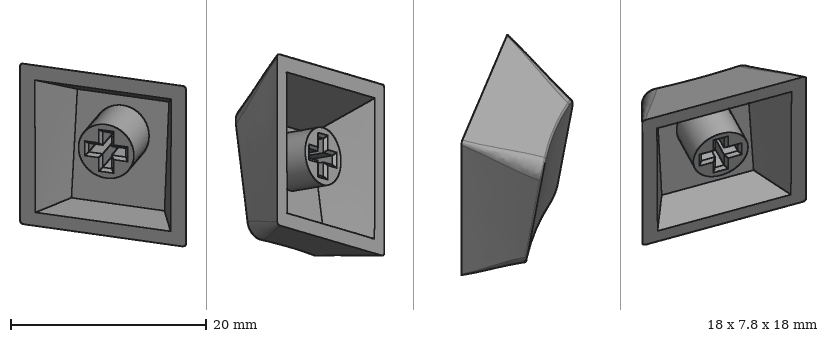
import cadquery as cq
import math


RIM_HALF = 9.0
TOP_TILT = 8.35
TOP_HEIGHT = 7.3
TOP_HALF_WIDTH = 6.05
UPPER_WALL_LEAN = 0.522

DISH_RADIUS = 36.0
DISH_DEPTH = 0.55
DISH_LENGTH = 4 * RIM_HALF
CORNER_RADIUS_RIM = 0.4
CORNER_RADIUS_TOP = 1.8
TOP_EDGE_RADIUS = 0.3
ON_RIM_TOLERANCE = 1e-4

CAVITY_UPPER_Z = 7.33
CAVITY_LOWER_Z = -7.48
CAVITY_MOUTH_UPPER_HALF = 7.39
CAVITY_MOUTH_LOWER_HALF = 7.32
CAVITY_FLOOR_UPPER_HALF = 4.96
CAVITY_FLOOR_LOWER_HALF = 5.04
FLOOR_HEIGHT = 5.75
FLOOR_TILT = 8.0
FLOOR_UPPER_Z = 4.03

STEM_DIAMETER = 6.0
STEM_FACE_Y = 1.0
CROSS_LENGTH = 4.0
CROSS_ARM_WIDTH = 0.98
CROSS_CHAMFER = 0.33

TOP_SLOPE = math.tan(math.radians(TOP_TILT))
FLOOR_SLOPE = math.tan(math.radians(FLOOR_TILT))


def floor_y(z):
    return FLOOR_HEIGHT + FLOOR_SLOPE * z


def trapezoid(upper, lower):
    """Wire symmetric about X = 0; each end is (half width, y, z)."""
    upper_half, upper_y, upper_z = upper
    lower_half, lower_y, lower_z = lower
    corners = [
        cq.Vector(-upper_half, upper_y, upper_z),
        cq.Vector(upper_half, upper_y, upper_z),
        cq.Vector(lower_half, lower_y, lower_z),
        cq.Vector(-lower_half, lower_y, lower_z),
    ]
    return cq.Wire.makePolygon(corners, close=True)


def ruled_block(start, end):
    return cq.Workplane(obj=cq.Solid.makeLoft([start, end], True))


def dish_cutter():
    """Cylinder lying along the tilted top, lowest on the plane X = 0."""
    along_top = cq.Vector(0, TOP_SLOPE, 1).normalized()
    away_from_top = cq.Vector(0, 1, -TOP_SLOPE).normalized()
    dish_bottom = cq.Vector(0, TOP_HEIGHT, 0) - away_from_top * DISH_DEPTH
    base = dish_bottom + away_from_top * DISH_RADIUS - along_top * (DISH_LENGTH / 2)
    return cq.Workplane(obj=cq.Solid.makeCylinder(DISH_RADIUS, DISH_LENGTH, base, along_top))


def round_corners(body):
    """Round the four corner edges with a radius that grows from rim to top."""
    solid = body.val()
    rounding = cq.occ_impl.shapes.BRepFilletAPI_MakeFillet(solid.wrapped)
    for edge in solid.Edges():
        start_y = edge.startPoint().y
        end_y = edge.endPoint().y
        starts_on_rim = abs(start_y) < ON_RIM_TOLERANCE
        ends_on_rim = abs(end_y) < ON_RIM_TOLERANCE
        if starts_on_rim != ends_on_rim:
            radii = [CORNER_RADIUS_RIM, CORNER_RADIUS_TOP]
            if ends_on_rim:
                radii.reverse()
            rounding.Add(*radii, edge.wrapped)
    return cq.Workplane(obj=cq.Shape.cast(rounding.Shape()).Solids()[0])


def outer_body():
    upper_y = (TOP_HEIGHT + TOP_SLOPE * RIM_HALF) / (1 + TOP_SLOPE * UPPER_WALL_LEAN)
    upper_z = RIM_HALF - UPPER_WALL_LEAN * upper_y
    lower_y = TOP_HEIGHT - TOP_SLOPE * RIM_HALF
    rim = trapezoid((RIM_HALF, 0, RIM_HALF), (RIM_HALF, 0, -RIM_HALF))
    top = trapezoid((TOP_HALF_WIDTH, upper_y, upper_z), (TOP_HALF_WIDTH, lower_y, -RIM_HALF))
    body = round_corners(ruled_block(rim, top).cut(dish_cutter()))
    return body.faces("%CYLINDER").edges().fillet(TOP_EDGE_RADIUS)


def cavity():
    mouth = trapezoid(
        (CAVITY_MOUTH_UPPER_HALF, 0, CAVITY_UPPER_Z),
        (CAVITY_MOUTH_LOWER_HALF, 0, CAVITY_LOWER_Z),
    )
    floor = trapezoid(
        (CAVITY_FLOOR_UPPER_HALF, floor_y(FLOOR_UPPER_Z), FLOOR_UPPER_Z),
        (CAVITY_FLOOR_LOWER_HALF, floor_y(CAVITY_LOWER_Z), CAVITY_LOWER_Z),
    )
    return ruled_block(mouth, floor)


def cross_bar_pair(length, width, start_y, end_y):
    """Plus-shaped prism running along Y between two heights."""
    depth = end_y - start_y
    along_x = cq.Workplane("XY").box(length, depth, width, centered=(True, False, True))
    along_z = cq.Workplane("XY").box(width, depth, length, centered=(True, False, True))
    return along_x.union(along_z).translate((0, start_y, 0))


def cross_socket():
    """Cross with a 45 degree lead-in, deep enough to pass the cavity floor."""
    cross = cross_bar_pair(CROSS_LENGTH, CROSS_ARM_WIDTH, STEM_FACE_Y, TOP_HEIGHT)
    lead_in = cross_bar_pair(
        CROSS_LENGTH + 2 * CROSS_CHAMFER,
        CROSS_ARM_WIDTH + 2 * CROSS_CHAMFER,
        STEM_FACE_Y - CROSS_CHAMFER,
        STEM_FACE_Y + CROSS_CHAMFER,
    )
    return cross.union(lead_in.faces(">Y").chamfer(CROSS_CHAMFER))


def stem():
    """Slotted post, cut off flush with the cavity floor."""
    length = TOP_HEIGHT - STEM_FACE_Y
    post = cq.Solid.makeCylinder(
        STEM_DIAMETER / 2, length, cq.Vector(0, STEM_FACE_Y, 0), cq.Vector(0, 1, 0)
    )
    return cq.Workplane(obj=post).cut(cross_socket())


result = outer_body().cut(cavity().cut(stem()))